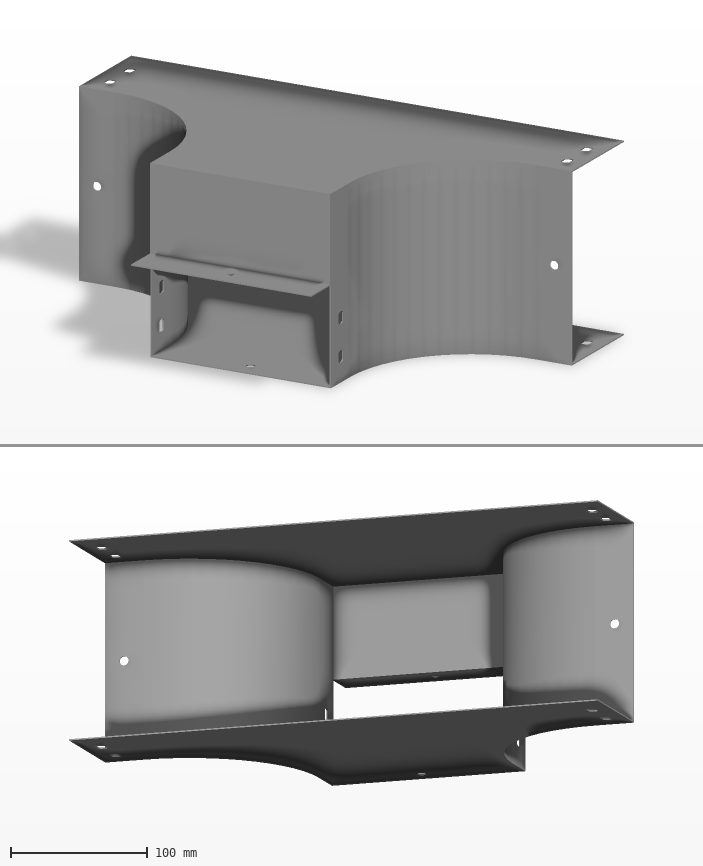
import cadquery as cq

length = 410.0
height = 150.0
sheet = 1.0
branch_width = 150.0
straight = 30.0
flange_depth = 30.0
overall_depth = 240.0
apron_drop = 69.5

bend_radius = (length - branch_width) / 2 - straight
branch_end = -overall_depth / 2 + flange_depth
back = overall_depth / 2
arm_front = branch_end + straight + bend_radius
half_length = length / 2
half_branch = branch_width / 2

slot_length = 10.0
slot_width = 7.0
slot_pitch = 30.0
arm_inset = 14.8
branch_inset = 15.0
slot_back_inset = 30.0
slot_base_inset = 20.0
wall_hole = 7.0
flange_hole = 5.0
floor_hole = 7.0

arm_slot_x = half_length - arm_inset
branch_hole_y = branch_end + branch_inset


def block(x_size, y_size, z_size, x_mid, y_min, z_min):
    """Box centred on x_mid, rising from y_min and z_min."""
    box = cq.Workplane("XY").box(x_size, y_size, z_size, centered=(True, False, False))
    return box.translate((x_mid, y_min, z_min))


def tee(inset, plate_height):
    """Tee-shaped prism whose concave sides are moved inward by inset."""
    side_x = half_branch - inset
    front_y = arm_front + inset
    radius = bend_radius + inset
    bend_x = half_branch + bend_radius
    bend_y = arm_front - bend_radius
    mid = radius * 0.5 ** 0.5
    return (
        cq.Workplane("XY")
        .moveTo(-half_length, back)
        .lineTo(half_length, back)
        .lineTo(half_length, front_y)
        .lineTo(bend_x, front_y)
        .threePointArc((bend_x - mid, bend_y + mid), (side_x, bend_y))
        .lineTo(side_x, branch_end)
        .lineTo(-side_x, branch_end)
        .lineTo(-side_x, bend_y)
        .threePointArc((-bend_x + mid, bend_y + mid), (-bend_x, front_y))
        .lineTo(-half_length, front_y)
        .close()
        .extrude(plate_height)
    )


def duct():
    """Hollow tee with floor, roof and curved side walls."""
    cavity = tee(sheet, height - 2 * sheet).translate((0, 0, sheet))
    return tee(0, height).cut(cavity)


def apron():
    """Plate closing the upper part of the branch, with a forward flange."""
    flange_bottom = height - apron_drop - sheet
    plate_height = apron_drop + sheet
    plate = block(branch_width, sheet, plate_height, 0, branch_end - sheet, flange_bottom)
    flange = block(branch_width, flange_depth, sheet, 0, -overall_depth / 2, flange_bottom)
    return plate.union(flange)


def slot_cutters(plane, points, reach):
    """Flat-sided slots with shallow round ends, cut both ways from the plane."""
    discs = cq.Workplane(plane).pushPoints(points).circle(slot_length / 2).extrude(reach, both=True)
    bars = cq.Workplane(plane).pushPoints(points).rect(slot_width, slot_length).extrude(reach, both=True)
    return discs.intersect(bars)


def arm_slots():
    """Slots through floor and roof at the two arm ends."""
    points = [
        (x, back - slot_back_inset - i * slot_pitch)
        for x in (-arm_slot_x, arm_slot_x)
        for i in range(2)
    ]
    return slot_cutters("XY", points, height)


def branch_slots():
    """Upright slots through both branch walls."""
    points = [(branch_hole_y, slot_base_inset + i * slot_pitch) for i in range(2)]
    return slot_cutters("YZ", points, half_length)


def arm_wall_holes():
    """Round holes at mid height in the front walls of the arms."""
    points = [(-arm_slot_x, height / 2), (arm_slot_x, height / 2)]
    return cq.Workplane("XZ").pushPoints(points).circle(wall_hole / 2).extrude(overall_depth, both=True)


def flange_and_floor_holes():
    """Round holes on the centre line of the flange and the branch floor."""
    flange_y = -overall_depth / 2 + branch_inset
    flange_cut = cq.Workplane("XY").center(0, flange_y).circle(flange_hole / 2).extrude(height)
    floor_cut = cq.Workplane("XY").center(0, branch_hole_y).circle(floor_hole / 2).extrude(2 * sheet)
    return flange_cut.union(floor_cut)


result = duct().union(apron())
for cutter in (arm_slots(), branch_slots(), arm_wall_holes(), flange_and_floor_holes()):
    result = result.cut(cutter)